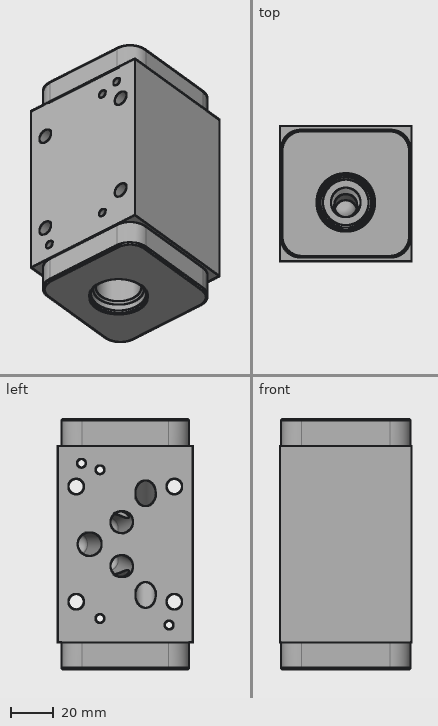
import cadquery as cq
import math

block_x = 61.9
block_y = 63.5
block_z = 92.1
overall_z = 117.5
cap_x = 61.0
cap_y = 60.0
cap_corner_radius = 9.6
cap_chamfer = 0.8
port_face_x = -block_x / 2

bore_y = -4.1
bore_floor_z = 14.1
bore_radius = 10.7
spotface_radius = 13.7
spotface_depth = 0.9
lead_in_radius = 12.9
lead_in_depth = 1.8
seal_radius = 11.9
seal_depth = 4.3
shoulder_depth = 5.5

recess_radius = 6.9
drill_point_angle = 118.0
recess_depth = recess_radius / math.tan(math.radians(drill_point_angle / 2))

passage_radius = 5.4
passage_offset = 1.2
passage_start = (0, bore_y - passage_offset, bore_floor_z)
passage_end = (0, -8.5, 5.5)

mount_diameter = 7.2
mount_y = 23.0
mount_z = 27.0
locator_diameter = 4.0
locator_points = [(20.5, 38.0), (11.9, 34.9), (11.9, -34.9), (-20.5, -38.0)]

pressure_radius = 5.5
pressure_start = (16.7, 0)
pressure_end = (0, 23.1, 0)
service_radius = 5.2
service_start = (1.6, 10.3)
service_end = (0, 8.3, 7.5)
tank_radius = 4.8
tank_start = (-9.5, 23.8)
tank_end = (-10.6, -9.5, 8.3)

feed_radius = 3.5
feed_end = (0, 2.9, 23.5)


def cap(side):
    """End cap on the +Z (side=1) or -Z (side=-1) face, chamfered at its outer rim."""
    height = (overall_z - block_z) / 2
    body = cq.Workplane("XY").workplane(offset=block_z / 2).rect(cap_x, cap_y).extrude(height)
    body = body.edges("|Z").fillet(cap_corner_radius).faces(">Z").chamfer(cap_chamfer)
    return body if side > 0 else body.mirror("XY")


def angled_drill(start, end, radius, overrun):
    """Round drill whose axis runs from start to end, lengthened by overrun before start."""
    first = cq.Vector(*start)
    axis = cq.Vector(*end) - first
    base = first - axis.normalized() * overrun
    return cq.Workplane(cq.Solid.makeCylinder(radius, axis.Length + overrun, base, axis))


def ball(centre, radius):
    """Sphere that rounds the end of a drilled passage."""
    return cq.Workplane("XY").sphere(radius).translate(centre)


def ball_ended_port(start, end, radius):
    """Angled port from the -X face with a hemispherical bottom."""
    return face_port(start, end, radius).union(ball(end, radius))


def face_port(start, end, radius):
    """Angled drill from a (y, z) point of the -X face, running out through that face."""
    return angled_drill((port_face_x, *start), end, radius, radius)


def cartridge_bore():
    """Stepped bore from the top cap, its conical recess and the domed passage below it."""
    top = overall_z / 2
    profile = [
        (0, top),
        (spotface_radius, top),
        (spotface_radius, top - spotface_depth),
        (lead_in_radius, top - lead_in_depth),
        (seal_radius, top - seal_depth),
        (bore_radius, top - shoulder_depth),
        (bore_radius, bore_floor_z),
        (recess_radius, bore_floor_z),
        (0, bore_floor_z - recess_depth),
    ]
    bore = cq.Workplane("XZ").polyline(profile).close().revolve(360, (0, 0), (0, 1))
    bore = bore.translate((0, bore_y, 0))
    passage = angled_drill(passage_start, passage_end, passage_radius, 0)
    dome = ball(passage_end, passage_radius)
    return bore.union(passage.cut(dome))


def through_holes(points, diameter):
    """Straight holes along X through the block at the given (y, z) points."""
    plane = cq.Workplane("YZ").workplane(offset=port_face_x)
    return plane.pushPoints(points).circle(diameter / 2).extrude(block_x)


result = cq.Workplane("XY").box(block_x, block_y, block_z)
for side in (1, -1):
    result = result.union(cap(side))

mount_points = [(y, z) for y in (-mount_y, mount_y) for z in (-mount_z, mount_z)]
result = result.cut(through_holes(mount_points, mount_diameter))
result = result.cut(through_holes(locator_points, locator_diameter))

result = result.cut(ball_ended_port(pressure_start, pressure_end, pressure_radius))

service_port = ball_ended_port(service_start, service_end, service_radius)
tank_port = ball_ended_port(tank_start, tank_end, tank_radius)
feed = face_port(service_start, feed_end, feed_radius)
for cavity in (cartridge_bore(), service_port, feed, tank_port):
    result = result.cut(cavity).cut(cavity.mirror("XY"))